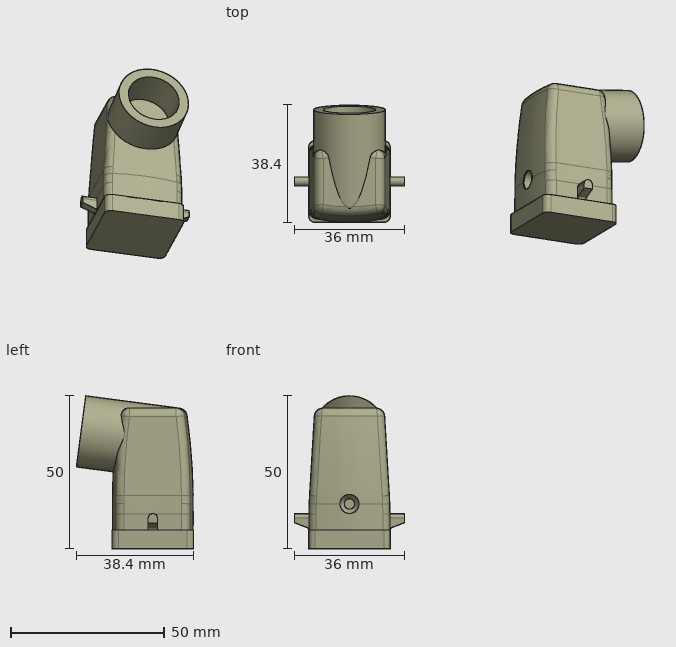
import cadquery as cq
import math

COLLAR_SIDE = 26.7
COLLAR_HEIGHT = 6.1
COLLAR_CORNER_RADIUS = 2.1

BODY_TOP = 46.0
SIDE_HALF_WIDTH = 13.25
SIDE_DRAFT = 3.4
SIDE_BEND_START = 11.3
SIDE_BEND_END = 17.4
CROWN_HALF_DEPTH = 13.25
CROWN_PLAN_RADIUS = 56.0
CROWN_BEND_START = 14.65
CROWN_BEND_RADIUS = 205.9
CORNER_RADIUS = 2.9
TOP_EDGE_RADIUS = 3.0

TUBE_RADIUS = 11.75
BORE_RADIUS = 8.55
BORE_DEPTH = 12.5
TUBE_TILT = 7.5
TUBE_LENGTH = 31.0
TUBE_MAX_Y = 25.0
TUBE_MAX_Z = 50.0

PEG_REACH = 18.0
PEG_WIDTH = 3.0
PEG_TOP = 11.5
PEG_TIP_BOTTOM = 8.5
PEG_ROOT_BOTTOM = 6.65
PEG_ROOT_RADIUS = 0.8

RECESS_HEIGHT = CROWN_BEND_START
RECESS_MOUTH_RADIUS = 3.1
RECESS_FLOOR_RADIUS = 1.7
RECESS_LIP = 0.45
RECESS_DEPTH = 2.65


def make_collar():
    block = cq.Workplane("XY").box(COLLAR_SIDE, COLLAR_SIDE, COLLAR_HEIGHT, centered=(True, True, False))
    return block.edges("|Z").fillet(COLLAR_CORNER_RADIUS)


def make_side_envelope():
    """Prism along Y bounded by the two leaning side faces."""
    draft = math.radians(SIDE_DRAFT)
    bend_radius = (SIDE_BEND_END - SIDE_BEND_START) / math.sin(draft)

    def bend_point(angle):
        x = SIDE_HALF_WIDTH - bend_radius * (1 - math.cos(angle))
        return x, SIDE_BEND_START + bend_radius * math.sin(angle)

    bend_middle = bend_point(draft / 2)
    bend_end = bend_point(draft)
    top_x = bend_end[0] - (BODY_TOP - SIDE_BEND_END) * math.tan(draft)
    half = (
        cq.Workplane("XZ")
        .lineTo(SIDE_HALF_WIDTH, 0)
        .lineTo(SIDE_HALF_WIDTH, SIDE_BEND_START)
        .threePointArc(bend_middle, bend_end)
        .lineTo(top_x, BODY_TOP)
        .lineTo(0, BODY_TOP)
        .close()
        .extrude(CROWN_HALF_DEPTH, both=True)
    )
    return half.union(half.mirror("YZ"))


def make_crown_envelope():
    """Round solid whose wall forms the bulged front face."""

    def inset(height):
        rise = height - CROWN_BEND_START
        return CROWN_BEND_RADIUS - math.sqrt(CROWN_BEND_RADIUS**2 - rise**2)

    middle_height = (CROWN_BEND_START + BODY_TOP) / 2
    axis_y = CROWN_PLAN_RADIUS - CROWN_HALF_DEPTH
    return (
        cq.Workplane("XZ")
        .lineTo(CROWN_PLAN_RADIUS, 0)
        .lineTo(CROWN_PLAN_RADIUS, CROWN_BEND_START)
        .threePointArc(
            (CROWN_PLAN_RADIUS - inset(middle_height), middle_height),
            (CROWN_PLAN_RADIUS - inset(BODY_TOP), BODY_TOP),
        )
        .lineTo(0, BODY_TOP)
        .close()
        .revolve(360, (0, 0), (0, 1))
        .translate((0, axis_y, 0))
    )


def is_upright_corner(edge):
    rises = edge.BoundingBox().zlen > CORNER_RADIUS / 2
    return rises and abs(edge.Center().x) > SIDE_HALF_WIDTH / 2


def make_body():
    front_crown = make_crown_envelope()
    back_crown = front_crown.mirror("XZ")
    body = make_side_envelope().intersect(front_crown).intersect(back_crown)
    body = body.edges().filter(is_upright_corner).fillet(CORNER_RADIUS)
    return body.faces(">Z").edges().fillet(TOP_EDGE_RADIUS)


def tube_end_plane():
    """Plane of the open tube rim, facing into the hood."""
    tilt = math.radians(TUBE_TILT)
    centre_y = TUBE_MAX_Y - TUBE_RADIUS * math.sin(tilt)
    centre_z = TUBE_MAX_Z - TUBE_RADIUS * math.cos(tilt)
    inward = (0, -math.cos(tilt), -math.sin(tilt))
    return cq.Plane(origin=(0, centre_y, centre_z), xDir=(1, 0, 0), normal=inward)


def make_peg():
    """Peg on the +X side: round top, sloping underside and a rounded root."""
    slope = math.atan2(PEG_TIP_BOTTOM - PEG_ROOT_BOTTOM, PEG_REACH - SIDE_HALF_WIDTH)
    embedded_x = SIDE_HALF_WIDTH - PEG_WIDTH / 2
    turn = math.pi / 2 - slope
    tangent_length = PEG_ROOT_RADIUS * math.tan(turn / 2)
    root_start = (
        SIDE_HALF_WIDTH + tangent_length * math.cos(slope),
        PEG_ROOT_BOTTOM + tangent_length * math.sin(slope),
    )
    root_end = (SIDE_HALF_WIDTH, PEG_ROOT_BOTTOM - tangent_length)
    side_profile = (
        cq.Workplane("XZ")
        .moveTo(embedded_x, PEG_TOP)
        .lineTo(PEG_REACH, PEG_TOP)
        .lineTo(PEG_REACH, PEG_TIP_BOTTOM)
        .lineTo(*root_start)
        .tangentArcPoint(root_end, relative=False)
        .lineTo(embedded_x, root_end[1])
        .close()
        .extrude(PEG_WIDTH, both=True)
    )
    half_width = PEG_WIDTH / 2
    shoulder = PEG_TOP - half_width
    end_profile = (
        cq.Workplane("YZ")
        .moveTo(-half_width, 0)
        .lineTo(half_width, 0)
        .lineTo(half_width, shoulder)
        .threePointArc((0, PEG_TOP), (-half_width, shoulder))
        .close()
        .extrude(PEG_REACH)
    )
    return side_profile.intersect(end_profile)


def make_recess():
    mouth_y = -CROWN_HALF_DEPTH
    return (
        cq.Workplane("XY")
        .moveTo(0, mouth_y)
        .lineTo(RECESS_MOUTH_RADIUS, mouth_y)
        .lineTo(RECESS_MOUTH_RADIUS, mouth_y + RECESS_LIP)
        .lineTo(RECESS_FLOOR_RADIUS, mouth_y + RECESS_DEPTH)
        .lineTo(0, mouth_y + RECESS_DEPTH)
        .close()
        .revolve(360, (0, 0), (0, 1))
        .translate((0, 0, RECESS_HEIGHT))
    )


tube = cq.Workplane(tube_end_plane()).circle(TUBE_RADIUS).extrude(TUBE_LENGTH)
bore = cq.Workplane(tube_end_plane()).circle(BORE_RADIUS).extrude(BORE_DEPTH)
peg = make_peg()

result = (
    make_body()
    .union(make_collar())
    .union(tube)
    .union(peg)
    .union(peg.mirror("YZ"))
    .cut(bore)
    .cut(make_recess())
)